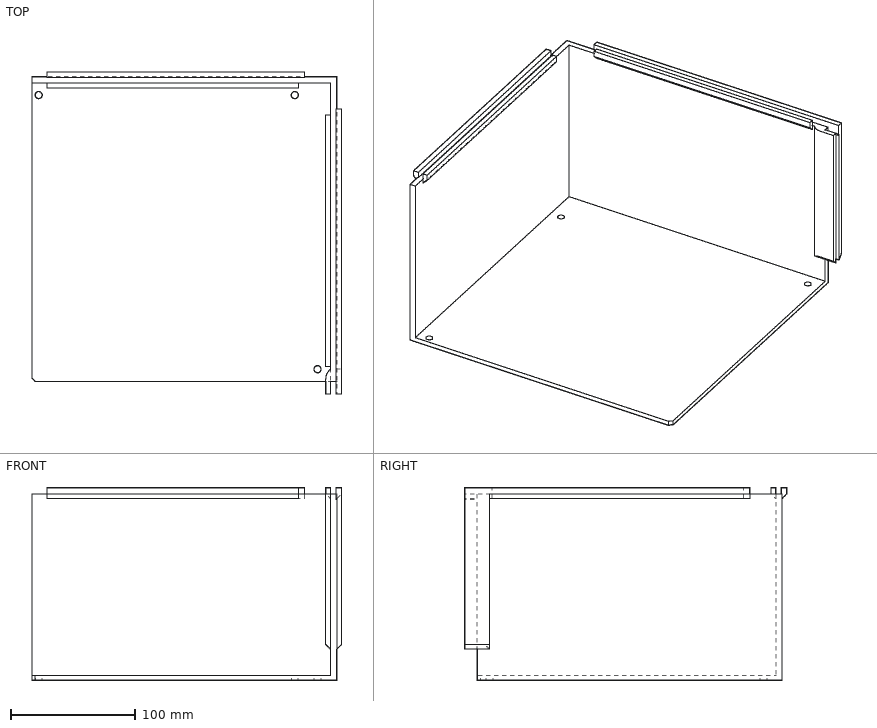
import cadquery as cq
import math


box_side = 245.3
wall_thickness = 5.0
wall_height = 150.0
floor_thickness = 4.0
wall_inner = box_side - wall_thickness

notch_diameter = 10.0
notch_offset = 2.0

lip_projection = 3.9
lip_reach = 5.0
groove_width = 4.3
lip_start = 12.0
inner_lip_end = 214.5
outer_lip_end = 219.5

outer_tip = box_side + lip_projection
inner_tip = wall_inner - lip_projection
groove_outer = wall_inner + groove_width
lip_top = wall_height + lip_reach

upright_reach = 10.0
upright_back = 10.0
upright_bottom = 25.0
upright_round_radius = 10.0

hole_diameter = 5.5
hole_centers = [(5.5, 230.5), (211.5, 230.5), (229.8, 10.0)]


def block(x_range, y_range, z_range):
    """Axis-aligned box between the given limits."""
    size = [high - low for low, high in (x_range, y_range, z_range)]
    corner = (x_range[0], y_range[0], z_range[0])
    return cq.Workplane("XY").box(*size, centered=False).translate(corner)


def make_box_corner():
    floor = block((0, box_side), (0, box_side), (0, floor_thickness))
    right_wall = block((wall_inner, box_side), (0, box_side), (0, wall_height))
    back_wall = block((0, box_side), (wall_inner, box_side), (0, wall_height))
    return floor.union(right_wall).union(back_wall)


def cut_floor(part):
    """Cut the screw holes and the corner notch through the floor."""
    holes = cq.Workplane("XY").pushPoints(hole_centers).circle(hole_diameter / 2).extrude(floor_thickness)
    notch = (
        cq.Workplane("XY")
        .center(-notch_offset, -notch_offset)
        .circle(notch_diameter / 2)
        .extrude(floor_thickness)
    )
    return part.cut(holes).cut(notch)


def make_top_lip(plane, tip, groove_face, start, end):
    """Lip along a wall top; its 45 degree underside starts at its tip, level with the wall top."""
    thickness = abs(groove_face - tip)
    points = [
        (tip, lip_top),
        (tip, wall_height),
        (groove_face, wall_height - thickness),
        (groove_face, lip_top),
    ]
    lip = cq.Workplane(plane).polyline(points).close()
    if plane == "XZ":
        return lip.extrude(start - end).translate((0, start, 0))
    return lip.extrude(end - start).translate((start, 0, 0))


def make_upright(tip, wall_face):
    """Upright lip on the right wall with a 45 degree bevel at its lower end."""
    bevel = abs(wall_face - tip)
    points = [
        (tip, wall_height),
        (tip, upright_bottom + bevel),
        (wall_face, upright_bottom),
        (wall_face, wall_height),
    ]
    upright = cq.Workplane("XZ").polyline(points).close().extrude(-(upright_reach + upright_back))
    return upright.translate((0, -upright_reach, 0))


def make_inner_upright():
    """Inner upright lip, its back rounded over to meet the wall."""
    radius = upright_round_radius
    round_length = math.sqrt(radius ** 2 - (radius - lip_projection) ** 2)
    round_start = upright_back - round_length
    half_angle = math.asin(round_length / radius) / 2
    mid_point = (
        inner_tip + radius * (1 - math.cos(half_angle)),
        round_start + radius * math.sin(half_angle),
    )
    footprint = (
        cq.Workplane("XY")
        .moveTo(inner_tip, -upright_reach)
        .lineTo(inner_tip, round_start)
        .threePointArc(mid_point, (wall_inner, upright_back))
        .lineTo(wall_inner, -upright_reach)
        .close()
        .extrude(wall_height)
    )
    return make_upright(inner_tip, wall_inner).intersect(footprint)


lips = [
    make_top_lip("YZ", inner_tip, wall_inner, lip_start, inner_lip_end),
    make_top_lip("YZ", outer_tip, groove_outer, lip_start, outer_lip_end),
    make_top_lip("XZ", inner_tip, wall_inner, lip_start, inner_lip_end),
    make_top_lip("XZ", outer_tip, groove_outer, -upright_reach, outer_lip_end),
    make_inner_upright(),
    make_upright(outer_tip, box_side),
]

result = make_box_corner()
for lip in lips:
    result = result.union(lip)
result = cut_floor(result)